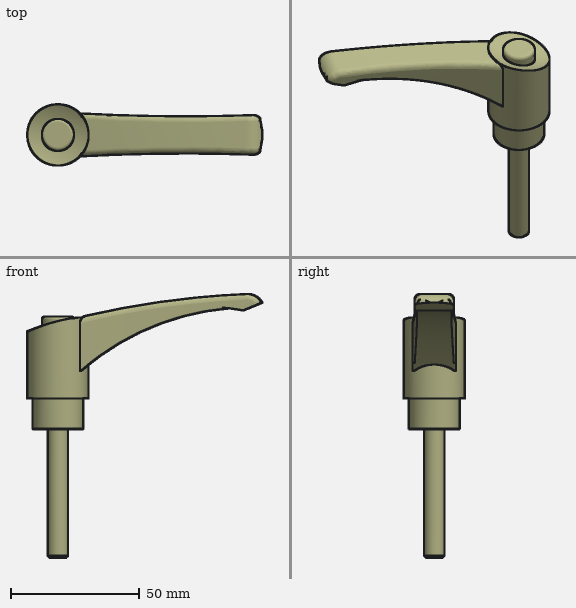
import cadquery as cq
import math

STUD_D = 8.0
STUD_CHAMFER = 0.9
COLLAR_D = 20.0
COLLAR_BOTTOM = 50.1
COLLAR_CHAMFER = 0.4
HUB_D = 24.0
HUB_BOTTOM = 62.2
BUTTON_D = 12.6
BUTTON_TOP = 94.2
BUTTON_FILLET = 1.3

HUB_LOW_Z = 88.2
HUB_HIGH_Z = 93.8
DISH_CENTER_Z = 89.5
DISH_LONG_R = 48.4
DISH_CROSS_R = 27.8
DISH_REACH = 15.4

CROWN_MID = (27.7, 97.9)
CAP_X = 73.4
TOP_Z = 102.9

OVERALL_X = 91.7
TIP_X = OVERALL_X - HUB_D / 2
TIP_Z = 99.5
CAP_BULGE = (77.1, 102.1)
LIP = (72.4, 96.4)
LIP_START = (66.9, 97.3)
UNDERSIDE_MID = (34.0, 88.8)
ROOT = (8.4, 72.4)
ROOT_HALF_WIDTH = 8.4
WAIST_X = 49.4
WAIST_HALF_WIDTH = 7.3
TIP_HALF_WIDTH = 7.9
TIP_CORNER_R = 3.6
HANDLE_FILLET = 2.4
UNDERSIDE_FILLET = 0.6

HUB_LOW = (-HUB_D / 2, HUB_LOW_Z)
CROWN_END = (CAP_X, TOP_Z)


def cylinder(diameter, bottom, top):
    return cq.Workplane("XY").workplane(offset=bottom).circle(diameter / 2).extrude(top - bottom)


def dish():
    """Hollow of the hub's top: an arc in the XZ plane turned about a tilted axis above it."""
    slope = math.atan2(HUB_HIGH_Z - HUB_LOW_Z, HUB_D)
    along = cq.Vector(math.cos(slope), 0, math.sin(slope))
    normal = cq.Vector(-math.sin(slope), 0, math.cos(slope))
    middle = cq.Vector(0, 0, DISH_CENTER_Z)
    rise = DISH_LONG_R - math.sqrt(DISH_LONG_R**2 - DISH_REACH**2)
    start = middle - along * DISH_REACH + normal * rise
    end = middle + along * DISH_REACH + normal * rise
    axis_start = middle - along * DISH_REACH + normal * DISH_CROSS_R
    axis_end = middle + along * DISH_REACH + normal * DISH_CROSS_R
    axis = [(point.x, point.z) for point in (axis_start, axis_end)]
    return (
        cq.Workplane("XZ")
        .moveTo(start.x, start.z)
        .threePointArc((middle.x, middle.z), (end.x, end.z))
        .lineTo(*axis[1])
        .lineTo(*axis[0])
        .close()
        .revolve(360, *axis)
    )


def handle():
    """Side profile crossed with the waisted plan outline, upper edges rounded."""
    side = (
        cq.Workplane("XZ")
        .moveTo(*HUB_LOW)
        .threePointArc(CROWN_MID, CROWN_END)
        .threePointArc(CAP_BULGE, (TIP_X, TIP_Z))
        .lineTo(*LIP)
        .lineTo(*LIP_START)
        .threePointArc(UNDERSIDE_MID, ROOT)
        .lineTo(0, ROOT[1])
        .close()
        .extrude(HUB_D, both=True)
    )
    plan = (
        cq.Workplane("XY")
        .moveTo(0, -ROOT_HALF_WIDTH)
        .lineTo(ROOT[0], -ROOT_HALF_WIDTH)
        .threePointArc((WAIST_X, -WAIST_HALF_WIDTH), (TIP_X, -TIP_HALF_WIDTH))
        .lineTo(TIP_X, TIP_HALF_WIDTH)
        .threePointArc((WAIST_X, WAIST_HALF_WIDTH), (ROOT[0], ROOT_HALF_WIDTH))
        .lineTo(0, ROOT_HALF_WIDTH)
        .close()
        .extrude(TOP_Z)
        .edges("|Z and >X")
        .fillet(TIP_CORNER_R)
    )
    bar = side.intersect(plan)
    for x, z, radius in ((WAIST_X, TOP_Z, HANDLE_FILLET), (*UNDERSIDE_MID, UNDERSIDE_FILLET)):
        face = bar.faces(cq.selectors.NearestToPointSelector((x, 0, z)))
        bar = face.edges("not |Y").fillet(radius)
    return bar


stud = cylinder(STUD_D, 0, COLLAR_BOTTOM).faces("<Z").chamfer(STUD_CHAMFER)
collar = cylinder(COLLAR_D, COLLAR_BOTTOM, HUB_BOTTOM).faces("<Z").chamfer(COLLAR_CHAMFER)
hub = cylinder(HUB_D, HUB_BOTTOM, HUB_HIGH_Z)
button = cylinder(BUTTON_D, HUB_BOTTOM, BUTTON_TOP).faces(">Z").edges().fillet(BUTTON_FILLET)
hub_hollow = dish().intersect(cylinder(HUB_D, HUB_BOTTOM, TOP_Z))

result = hub.union(handle()).cut(hub_hollow).union(collar).union(stud).union(button)